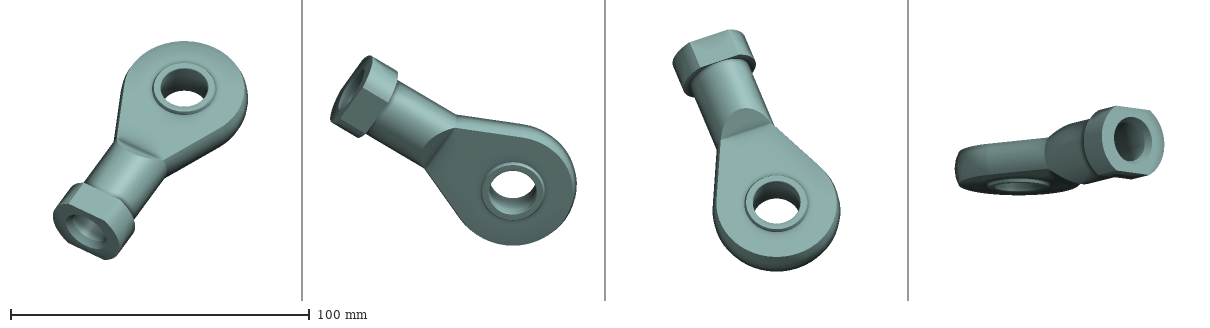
import cadquery as cq
import math


eye_radius = 21.435
overall_length = 86.02
eye_thickness = 10.6
rim_bulge = 1.3

ball_diameter = 24.0
ball_width = 12.7
ball_bore_diameter = 15.88
ball_bore_chamfer = 0.2

shank_diameter = 21.01
neck_y = -29.05
shoulder_angle = 40.0
shoulder_blend_radius = 0.8

collar_diameter = 26.04
collar_length = 10.2
collar_across_flats = 22.1

thread_minor_diameter = 13.39
thread_mouth_diameter = 15.88
thread_mouth_depth = 2.5
thread_depth = 28.0

half_thickness = eye_thickness / 2
rim_edge_radius = eye_radius - rim_bulge
shank_radius = shank_diameter / 2
end_y = eye_radius - overall_length
collar_y = end_y + collar_length

neck_corner_distance = math.hypot(shank_radius, neck_y)
side_length = math.sqrt(neck_corner_distance**2 - eye_radius**2)
contact_angle = math.atan2(shank_radius, -neck_y) + math.acos(eye_radius / neck_corner_distance)


def rim_section(plane, inner):
    """Section of the head from `inner` out to the crowned rim; local x is radial, local y is Z."""
    return (
        cq.Workplane(plane)
        .moveTo(inner, -half_thickness)
        .lineTo(rim_edge_radius, -half_thickness)
        .threePointArc((eye_radius, 0), (rim_edge_radius, half_thickness))
        .lineTo(inner, half_thickness)
        .close()
    )


def tapered_side(side):
    """Slab whose crowned edge runs along the tangent line on one side (+1 or -1)."""
    radial = (side * math.sin(contact_angle), -math.cos(contact_angle), 0)
    plane = cq.Plane(origin=(0, 0, 0), xDir=radial, normal=(radial[1], -radial[0], 0))
    length = side * 2 * side_length
    return rim_section(plane, -2 * eye_radius).extrude(length)


def make_head():
    eye = rim_section("XZ", 0).revolve(360, (0, 0, 0), (0, 1, 0))
    taper = tapered_side(1).intersect(tapered_side(-1))
    clip_size = 4 * eye_radius
    clip_center = (0, neck_y + clip_size / 2, 0)
    above_neck = cq.Workplane("XY", origin=clip_center).box(clip_size, clip_size, clip_size)
    return eye.union(taper.intersect(above_neck))


def make_shank():
    """Round shank cut down at the neck by a sloped shoulder above and below."""
    slope = math.radians(shoulder_angle)
    blend_tangent = shoulder_blend_radius * math.tan(slope / 2)
    blend_start_y = neck_y + blend_tangent
    blend_end = (neck_y - blend_tangent * math.cos(slope), half_thickness + blend_tangent * math.sin(slope))
    blend_middle = (
        blend_start_y - shoulder_blend_radius * math.sin(slope / 2),
        half_thickness + shoulder_blend_radius * (1 - math.cos(slope / 2)),
    )
    shoulder_top_y = neck_y - (shank_radius - half_thickness) / math.tan(slope)
    upper_half = (
        cq.Workplane("YZ")
        .moveTo(blend_start_y, 0)
        .lineTo(blend_start_y, half_thickness)
        .threePointArc(blend_middle, blend_end)
        .lineTo(shoulder_top_y, shank_radius)
        .lineTo(collar_y, shank_radius)
        .lineTo(collar_y, 0)
        .close()
        .extrude(shank_radius, both=True)
    )
    envelope = upper_half.union(upper_half.mirror("XY"))
    bar_length = blend_start_y - collar_y
    round_bar = cq.Workplane("XZ", origin=(0, collar_y, 0)).circle(shank_radius).extrude(-bar_length)
    return round_bar.intersect(envelope)


def make_collar():
    """Round collar at the shank end with two wrench flats facing +Z and -Z."""
    disc = cq.Workplane("XZ", origin=(0, collar_y, 0)).circle(collar_diameter / 2).extrude(collar_length)
    flats = (
        cq.Workplane("XZ", origin=(0, collar_y, 0))
        .rect(collar_diameter, collar_across_flats)
        .extrude(collar_length)
    )
    return disc.intersect(flats)


def make_thread_hole():
    """Blind hole in the shank end with a tapered mouth."""
    minor_radius = thread_minor_diameter / 2
    return (
        cq.Workplane("XY")
        .moveTo(0, end_y)
        .lineTo(thread_mouth_diameter / 2, end_y)
        .lineTo(minor_radius, end_y + thread_mouth_depth)
        .lineTo(minor_radius, end_y + thread_depth)
        .lineTo(0, end_y + thread_depth)
        .close()
        .revolve(360, (0, 0, 0), (0, 1, 0))
    )


def make_housing():
    ball_seat = cq.Workplane("XY").sphere(ball_diameter / 2)
    blank = make_head().union(make_shank()).union(make_collar())
    return blank.cut(make_thread_hole()).cut(ball_seat)


def make_ball():
    """Truncated ball with a chamfered through bore."""
    slab = cq.Workplane("XY").box(ball_diameter, ball_diameter, ball_width)
    bore = cq.Workplane("XY").circle(ball_bore_diameter / 2).extrude(ball_width, both=True)
    ball = cq.Workplane("XY").sphere(ball_diameter / 2).intersect(slab).cut(bore)
    bore_rim = cq.selectors.RadiusNthSelector(0)
    return ball.faces("|Z").edges(bore_rim).chamfer(ball_bore_chamfer)


housing = make_housing()
ball = make_ball()

result = cq.Compound.makeCompound([housing.val(), ball.val()])